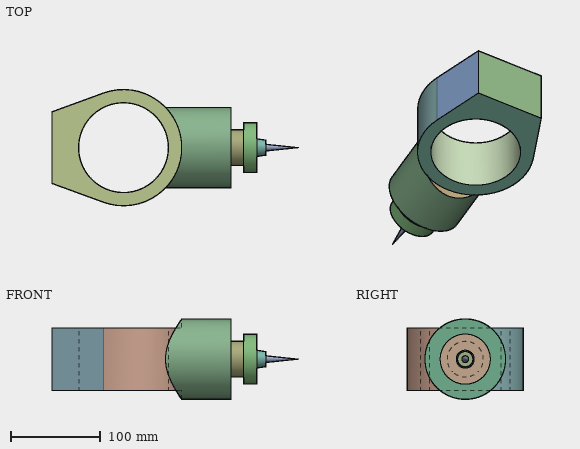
import cadquery as cq
import math

ring_radius = 65.0
bore_radius = 50.0
ring_height = 70.0
pad_distance = 80.0
pad_width = 80.0

housing_radius = 45.0
housing_end = 120.0
neck_radius = 20.0
neck_length = 14.0
collar_radius = 28.0
collar_length = 15.0
nozzle_base_radius = 10.0
nozzle_length = 10.0
nozzle_tip_radius = 8.5
needle_taper = math.radians(6)
tip_reach = 195.54

neck_end = housing_end + neck_length
collar_end = neck_end + collar_length
nozzle_end = collar_end + nozzle_length
needle_base_radius = (tip_reach - nozzle_end) * math.tan(needle_taper)


def make_ring_blank():
    """Round body whose sides run tangentially to the corners of the flat pad."""
    half_pad = pad_width / 2
    corner_distance = math.hypot(pad_distance, half_pad)
    corner_angle = math.atan2(half_pad, -pad_distance)
    tangent_angle = corner_angle - math.acos(ring_radius / corner_distance)
    tangent_x = ring_radius * math.cos(tangent_angle)
    tangent_y = ring_radius * math.sin(tangent_angle)
    return (
        cq.Workplane("XY")
        .workplane(offset=-ring_height / 2)
        .moveTo(-pad_distance, -half_pad)
        .lineTo(tangent_x, -tangent_y)
        .threePointArc((ring_radius, 0), (tangent_x, tangent_y))
        .lineTo(-pad_distance, half_pad)
        .close()
        .extrude(ring_height)
    )


def make_spindle():
    """Housing, neck, collar, tapered nozzle and pointed needle, turned about X."""
    return (
        cq.Workplane("XZ")
        .moveTo(0, 0)
        .lineTo(0, housing_radius)
        .lineTo(housing_end, housing_radius)
        .lineTo(housing_end, neck_radius)
        .lineTo(neck_end, neck_radius)
        .lineTo(neck_end, collar_radius)
        .lineTo(collar_end, collar_radius)
        .lineTo(collar_end, nozzle_base_radius)
        .lineTo(nozzle_end, nozzle_tip_radius)
        .lineTo(nozzle_end, needle_base_radius)
        .lineTo(tip_reach, 0)
        .close()
        .revolve(360, (0, 0, 0), (1, 0, 0))
    )


def make_z_cylinder(radius, height):
    """Cylinder on the bore axis, centred on the mid-plane."""
    base = cq.Workplane("XY").workplane(offset=-height / 2)
    return base.circle(radius).extrude(height)


spindle = make_spindle().cut(make_z_cylinder(ring_radius, 2 * housing_radius))
bore = make_z_cylinder(bore_radius, ring_height)

result = make_ring_blank().cut(bore).union(spindle)